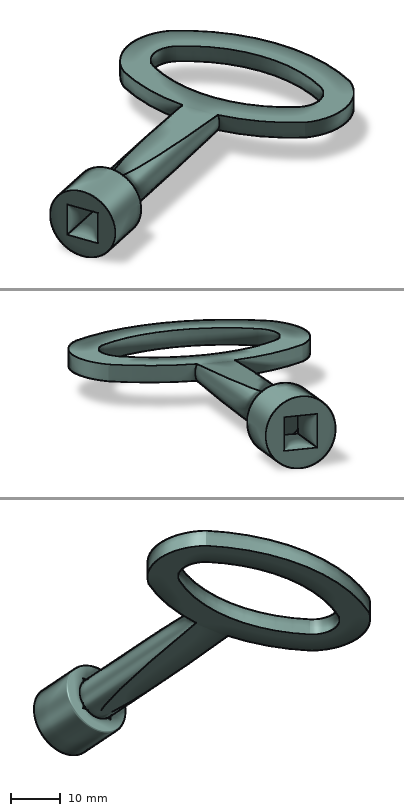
import cadquery as cq

LENGTH = 78.8

SOCKET_DIAMETER = 15.0
SOCKET_LENGTH = 10.95
SOCKET_ROUNDING = 0.4
SQUARE_SIDE = 7.0
SQUARE_DEPTH = SOCKET_LENGTH

RING_THICKNESS = 3.55
RING_HALF_WIDTH = 50.0 / 2
RING_HALF_HEIGHT = 15.4
RING_CORNER = (20.7, 9.3)
HOLE_HALF_WIDTH = 19.0
HOLE_HALF_HEIGHT = 9.45
HOLE_CORNER = (16.55, 4.6)
RING_CENTRE_Y = LENGTH - RING_HALF_HEIGHT

SHANK_DIAMETER = 8.8
TAPER_START_Y = 12.05
TAPER_END_Y = 48.0
SHANK_END_Y = RING_CENTRE_Y - (RING_HALF_HEIGHT + HOLE_HALF_HEIGHT) / 2


def oval_plate(half_width, half_height, corner):
    """Four-arc oval plate of ring thickness, centred on the ring."""
    x, y = corner
    return (
        cq.Workplane("XY")
        .center(0, RING_CENTRE_Y)
        .moveTo(-x, y)
        .threePointArc((0, half_height), (x, y))
        .threePointArc((half_width, 0), (x, -y))
        .threePointArc((0, -half_height), (-x, -y))
        .threePointArc((-half_width, 0), (-x, y))
        .close()
        .extrude(RING_THICKNESS / 2, both=True)
    )


def make_ring():
    outer = oval_plate(RING_HALF_WIDTH, RING_HALF_HEIGHT, RING_CORNER)
    return outer.cut(oval_plate(HOLE_HALF_WIDTH, HOLE_HALF_HEIGHT, HOLE_CORNER))


def make_shank():
    """Round bar trimmed by a side profile that tapers to the ring thickness."""
    radius = SHANK_DIAMETER / 2
    half_ring = RING_THICKNESS / 2
    bar = (
        cq.Workplane("XZ", origin=(0, SOCKET_LENGTH, 0))
        .circle(radius)
        .extrude(SOCKET_LENGTH - SHANK_END_Y)
    )
    side_profile = (
        cq.Workplane("YZ")
        .polyline([
            (SOCKET_LENGTH, radius),
            (TAPER_START_Y, radius),
            (TAPER_END_Y, half_ring),
            (SHANK_END_Y, half_ring),
            (SHANK_END_Y, -half_ring),
            (TAPER_END_Y, -half_ring),
            (TAPER_START_Y, -radius),
            (SOCKET_LENGTH, -radius),
        ])
        .close()
        .extrude(radius, both=True)
    )
    return bar.intersect(side_profile)


def make_socket():
    return (
        cq.Workplane("XZ")
        .circle(SOCKET_DIAMETER / 2)
        .extrude(-SOCKET_LENGTH)
        .faces(">Y")
        .fillet(SOCKET_ROUNDING)
    )


def make_square_hole():
    return cq.Workplane("XZ").rect(SQUARE_SIDE, SQUARE_SIDE).extrude(-SQUARE_DEPTH)


result = make_ring().union(make_shank()).union(make_socket()).cut(make_square_hole())